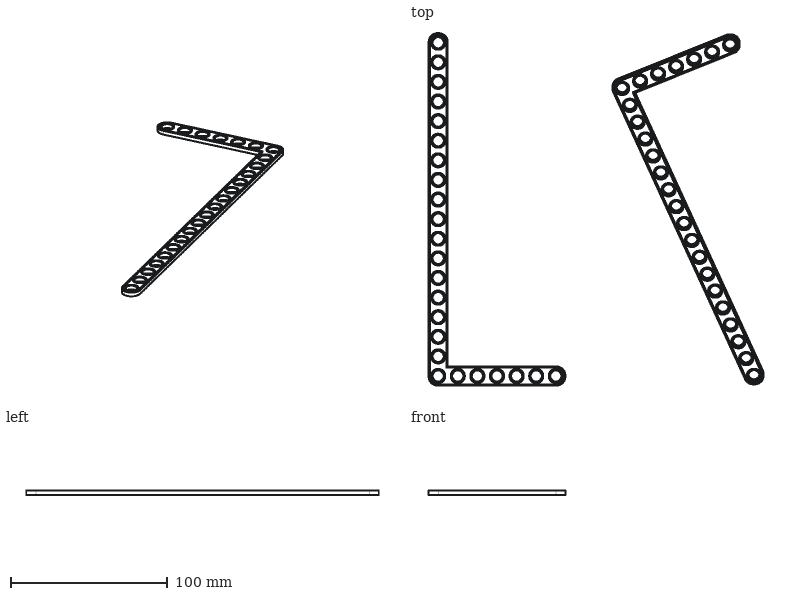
import cadquery as cq

long_arm_holes = 18
short_arm_holes = 7
overall_length = 225.0
pitch = overall_length / long_arm_holes
arm_width = pitch
thickness = 3.2
hole_diameter = 7.0
edge_chamfer = 0.3

collar_diameter = 9.2
rim_width = 1.1
recess_depth = 0.2

long_arm_reach = (long_arm_holes - 1) * pitch
short_arm_reach = (short_arm_holes - 1) * pitch
hole_centres = [(0, i * pitch) for i in range(long_arm_holes)]
hole_centres += [(i * pitch, 0) for i in range(1, short_arm_holes)]


def arm(reach, angle, width, height):
    """Round-ended bar starting at the corner hole and running at the given angle."""
    return (
        cq.Workplane("XY")
        .transformed(rotate=(0, 0, angle))
        .center(reach / 2, 0)
        .slot2D(reach + width, width)
        .extrude(height)
    )


def l_plate(width, height):
    """Two round-ended arms sharing the corner hole: +X short, +Y long."""
    short_arm = arm(short_arm_reach, 0, width, height)
    long_arm = arm(long_arm_reach, 90, width, height)
    return short_arm.union(long_arm)


def cylinders(diameter, height):
    """One upright cylinder at every hole centre."""
    return cq.Workplane("XY").pushPoints(hole_centres).circle(diameter / 2).extrude(height)


plate = l_plate(arm_width, thickness).cut(cylinders(hole_diameter, thickness))
plate = plate.faces("<Z or >Z").edges().chamfer(edge_chamfer)

recess = l_plate(arm_width - 2 * rim_width, recess_depth)
recess = recess.cut(cylinders(collar_diameter, recess_depth))
for recess_base in (0, thickness - recess_depth):
    plate = plate.cut(recess.translate((0, 0, recess_base)))

result = plate